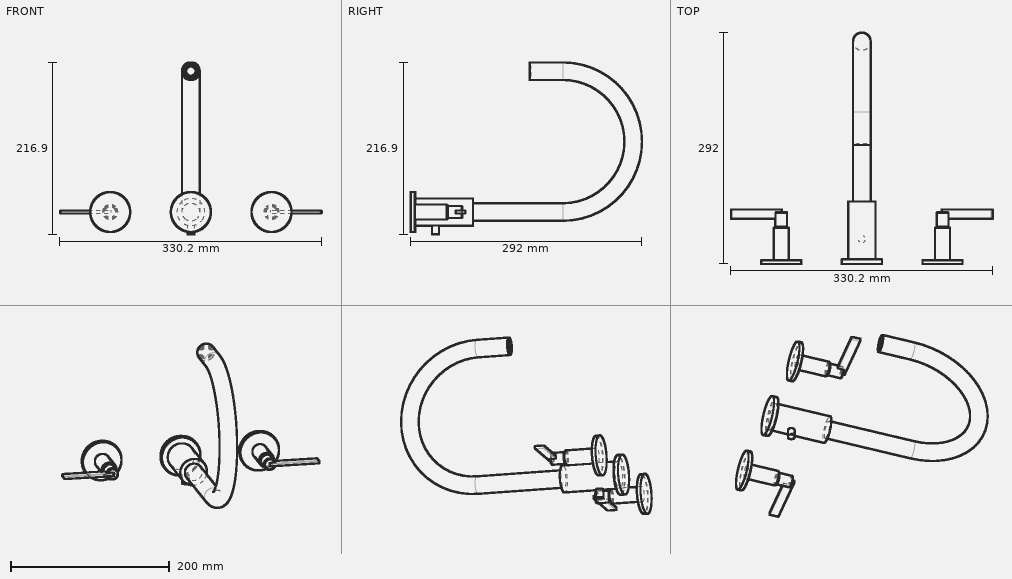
import cadquery as cq

HANDLE_SPACING = 101.7
OVERALL_WIDTH = 330.2

FLANGE_DIAMETER = 51.0
FLANGE_CHAMFER = 0.5

BASE_FLANGE_THICKNESS = 6.3
BASE_DIAMETER = 34.7
BASE_LENGTH = 79.0
PEG_DIAMETER = 9.0
PEG_REACH = 28.0
PEG_POSITION = 31.5

TUBE_DIAMETER = 22.5
BEND_RADIUS = 88.8
SPOUT_REACH = 292.0
TIP_POSITION = 150.0
OUTLET_DIAMETERS = (17.2, 15.2, 12.0)
OUTLET_STEP_DEPTH = 0.5

POST_FLANGE_THICKNESS = 5.3
POST_DIAMETER = 19.0
POST_LENGTH = 46.2
POST_CHAMFER = 0.83
NECK_LENGTH = 1.0

STEM_DIAMETER = 15.2
STEM_END = 65.5
STEM_CHAMFER = 1.0
LEVER_END = 69.0
LEVER_WIDTH = 12.2
LEVER_THICKNESS = 4.0
LEVER_FILLET = 1.0
LEVER_OVERLAP = 1.0


def cylinder_y(diameter, start, end):
    """Cylinder on the Y axis between two distances from the wall."""
    return cq.Workplane("XZ", origin=(0, start, 0)).circle(diameter / 2).extrude(start - end)


def make_flange(thickness):
    return cylinder_y(FLANGE_DIAMETER, 0, thickness).faces(">Y").chamfer(FLANGE_CHAMFER)


def make_base():
    """Wall flange, barrel and downward peg."""
    barrel = cylinder_y(BASE_DIAMETER, 0, BASE_LENGTH)
    peg = cq.Workplane("XY", origin=(0, PEG_POSITION, 0)).circle(PEG_DIAMETER / 2).extrude(-PEG_REACH)
    return make_flange(BASE_FLANGE_THICKNESS).union(barrel).union(peg)


def make_spout():
    """Gooseneck tube standing on the base, with the outlet facing back to the wall."""
    bend_start = SPOUT_REACH - TUBE_DIAMETER / 2 - BEND_RADIUS
    outlet_height = 2 * BEND_RADIUS
    path = (
        cq.Workplane("YZ")
        .moveTo(BASE_LENGTH, 0)
        .lineTo(bend_start, 0)
        .threePointArc((bend_start + BEND_RADIUS, BEND_RADIUS), (bend_start, outlet_height))
        .lineTo(TIP_POSITION, outlet_height)
    )
    tube = cq.Workplane("XZ", origin=(0, BASE_LENGTH, 0)).circle(TUBE_DIAMETER / 2).sweep(path)

    for step, diameter in enumerate(OUTLET_DIAMETERS, start=1):
        recess = cylinder_y(diameter, TIP_POSITION, TIP_POSITION + step * OUTLET_STEP_DEPTH)
        tube = tube.cut(recess.translate((0, 0, outlet_height)))
    return tube


def make_post():
    """Wall flange and post that carry a lever handle, on the Y axis."""
    post = cylinder_y(POST_DIAMETER, 0, POST_LENGTH).faces(">Y").chamfer(POST_CHAMFER)
    neck = cylinder_y(STEM_DIAMETER, POST_LENGTH, POST_LENGTH + NECK_LENGTH)
    return make_flange(POST_FLANGE_THICKNESS).union(post).union(neck)


def make_handle():
    """Stem on the Y axis with a flat lever reaching out along +X."""
    stem = cylinder_y(STEM_DIAMETER, POST_LENGTH + NECK_LENGTH, STEM_END).faces(">Y").chamfer(STEM_CHAMFER)
    half_thickness = LEVER_THICKNESS / 2
    lever_tip = OVERALL_WIDTH / 2 - HANDLE_SPACING
    round_start = lever_tip - half_thickness
    lever = (
        cq.Workplane("XZ", origin=(0, LEVER_END, 0))
        .moveTo(-LEVER_OVERLAP, -half_thickness)
        .lineTo(round_start, -half_thickness)
        .threePointArc((lever_tip, 0), (round_start, half_thickness))
        .lineTo(-LEVER_OVERLAP, half_thickness)
        .close()
        .extrude(LEVER_WIDTH)
        .faces("<Y or >Y")
        .edges("not <X")
        .fillet(LEVER_FILLET)
    )
    return stem.union(lever)


base = make_base()
spout = make_spout()
right_post = make_post().translate((HANDLE_SPACING, 0, 0))
right_handle = make_handle().translate((HANDLE_SPACING, 0, 0))

bodies = [base.val(), spout.val()]
for right_body in (right_post, right_handle):
    bodies.append(right_body.val())
    bodies.append(right_body.mirror("YZ").val())

result = cq.Compound.makeCompound(bodies)